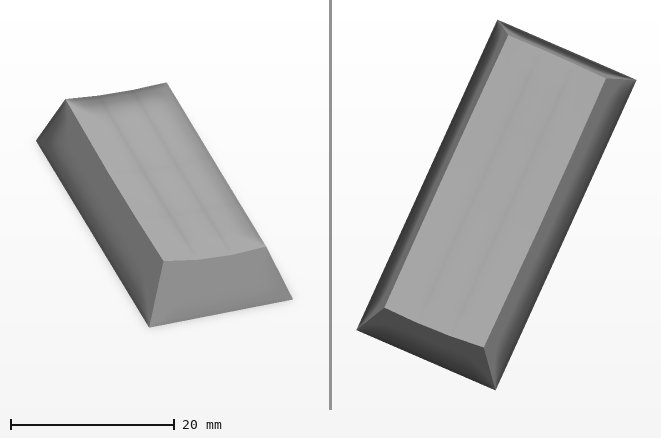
import cadquery as cq
import math

LENGTH = 42.5
WIDTH = 18.6
WALL_LEAN = 21.0

FRONT_HEIGHT = 7.4
BACK_HEIGHT = 6.75
CROSS_SAG = 0.45
LENGTH_SAG = 0.25

wall_slope = math.tan(math.radians(WALL_LEAN))


def circle_center(a, b, c):
    """Center of the circle through three (y, z) points."""
    twice_cross = 2 * (a[0] * (b[1] - c[1]) + b[0] * (c[1] - a[1]) + c[0] * (a[1] - b[1]))
    a_sq, b_sq, c_sq = [y ** 2 + z ** 2 for y, z in (a, b, c)]
    center_y = (a_sq * (b[1] - c[1]) + b_sq * (c[1] - a[1]) + c_sq * (a[1] - b[1])) / twice_cross
    center_z = (a_sq * (c[0] - b[0]) + b_sq * (a[0] - c[0]) + c_sq * (b[0] - a[0])) / twice_cross
    return center_y, center_z


def make_tapered_block():
    """Rectangular block whose four walls lean inward, tall enough to be trimmed by the dish."""
    block_height = FRONT_HEIGHT + LENGTH_SAG
    return cq.Workplane("XY").rect(LENGTH, WIDTH).extrude(block_height, taper=WALL_LEAN)


def make_dish_cutter():
    """Body above the dished top: a front-to-back arc swung along X about a high axis parallel to Y."""
    front = (-WIDTH / 2 + FRONT_HEIGHT * wall_slope, FRONT_HEIGHT - LENGTH_SAG)
    back = (WIDTH / 2 - BACK_HEIGHT * wall_slope, BACK_HEIGHT - LENGTH_SAG)
    middle = ((front[0] + back[0]) / 2, (front[1] + back[1]) / 2 - CROSS_SAG)
    arc_center_y, arc_center_z = circle_center(front, middle, back)
    arc_radius = math.dist((arc_center_y, arc_center_z), middle)

    def on_arc(y):
        return (y, arc_center_z - math.sqrt(arc_radius ** 2 - (y - arc_center_y) ** 2))

    clear_top = FRONT_HEIGHT + WIDTH / 2
    section = (
        cq.Workplane("YZ")
        .moveTo(*on_arc(-WIDTH / 2))
        .threePointArc(middle, on_arc(WIDTH / 2))
        .lineTo(WIDTH / 2, clear_top)
        .lineTo(-WIDTH / 2, clear_top)
        .close()
    )

    half_span = LENGTH / 2 - FRONT_HEIGHT * wall_slope
    swing_radius = (half_span ** 2 + LENGTH_SAG ** 2) / (2 * LENGTH_SAG)
    swing_half_angle = math.degrees(math.asin(LENGTH / 2 / swing_radius))
    axis_height = front[1] + swing_radius
    cutter = section.revolve(2 * swing_half_angle, (0, axis_height), (1, axis_height))
    return cutter.rotate((0, 0, axis_height), (0, 1, axis_height), -swing_half_angle)


keycap = make_tapered_block().cut(make_dish_cutter()).solids()

result = cq.Compound.makeCompound([keycap.val()])